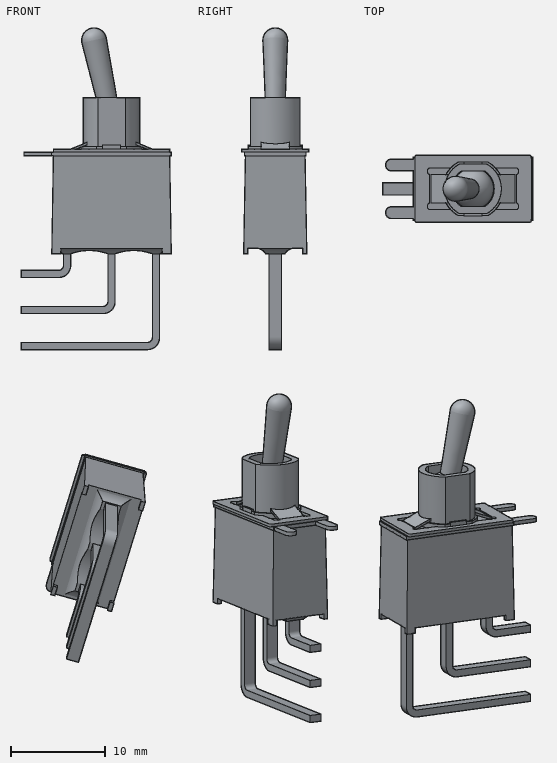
import cadquery as cq
import math


OVERALL_HEIGHT = 34.0

TERMINAL_COUNT = 3
TERMINAL_PITCH_X = 4.7
TERMINAL_PITCH_Z = 3.8
TERMINAL_THICKNESS = 0.78
TERMINAL_WIDTH = 1.33
TERMINAL_INNER_RADIUS = 0.5
TERMINAL_END_X = -9.55
TERMINAL_EMBED = 0.68

HOUSING_BOTTOM_LENGTH = 12.65
HOUSING_BOTTOM_WIDTH = 6.7
HOUSING_TOP_LENGTH = 12.3
HOUSING_TOP_WIDTH = 6.32
HOUSING_BOTTOM_Z = 10.13
HOUSING_TOP_Z = 20.47
FOOT_HEIGHT = 0.58
FOOT_GAP_LENGTH = 10.68
FOOT_GAP_WIDTH = 5.78

RESIN_BOTTOM_LENGTH = 10.4
RESIN_BOTTOM_WIDTH = 2.05
RESIN_FLARE = 0.8
RESIN_FLANK_MIDDLE = (0.4, 0.4)
RESIN_HOLLOW_RISE = 0.35

FRAME_THICKNESS = 0.4
FRAME_WIDTH = 6.53
PRONG_TIP_X = -9.25
PRONG_WIDTH = 1.25
PRONG_Y = 2.5

COVER_LENGTH = 12.3
COVER_WIDTH = 7.1
COVER_THICKNESS = 0.3
COVER_CORNER_RADIUS = 0.2
WINDOW_EDGE_X = 4.6
WINDOW_WIDTH = 4.42
SLOT_END_BULGE = 0.25
TONGUE_WIDTH = 3.0
TONGUE_ROOT_X = 4.45
TONGUE_TIP_X = 2.38
TONGUE_SLOPE = 22.5
TONGUE_ROOT_DROP = 0.05

BUSHING_RADIUS = 3.0
BUSHING_FLATS = 5.25
BUSHING_TOP_Z = 26.62
BORE_RADIUS = 2.25
BORE_FLATS = 3.75
COLLAR_RADIUS = 3.23
COLLAR_FLATS = 5.65
COLLAR_HEIGHT = 0.27
LUG_LENGTH = 1.87
LUG_SPAN = 5.7
LUG_HEIGHT = 0.45

PIVOT_Z = 24.15
BALL_RADIUS = 2.18
LEVER_TILT = 12.2
LEVER_ROOT_RADIUS = 1.0
LEVER_TIP_RADIUS = 1.33

FOOT_GAP_Z = HOUSING_BOTTOM_Z + FOOT_HEIGHT
FRAME_TOP_Z = HOUSING_TOP_Z + FRAME_THICKNESS
COVER_TOP_Z = FRAME_TOP_Z + COVER_THICKNESS


def box(length, width, bottom_z, top_z):
    """Box centred on the Z axis."""
    return (
        cq.Workplane("XY")
        .workplane(offset=bottom_z)
        .rect(length, width)
        .extrude(top_z - bottom_z)
    )


def flatted_cylinder(radius, flats, bottom_z, top_z):
    """Vertical cylinder with two flats facing +Y and -Y."""
    cylinder = cq.Workplane("XY").workplane(offset=bottom_z).circle(radius).extrude(top_z - bottom_z)
    return cylinder.intersect(box(2 * radius, flats, bottom_z, top_z))


def terminal_x(index):
    """X of the vertical leg of a terminal, counted from the prong end."""
    return (index - (TERMINAL_COUNT - 1) / 2) * TERMINAL_PITCH_X


def make_terminal(index):
    """L-shaped strip: down out of the housing, then bent towards -X."""
    outer_x = terminal_x(index) + TERMINAL_THICKNESS / 2
    bottom_z = (TERMINAL_COUNT - 1 - index) * TERMINAL_PITCH_Z
    top_z = FOOT_GAP_Z + TERMINAL_EMBED
    inner_x = outer_x - TERMINAL_THICKNESS
    inner_z = bottom_z + TERMINAL_THICKNESS
    strip = (
        cq.Workplane("XZ")
        .moveTo(TERMINAL_END_X, bottom_z)
        .lineTo(outer_x, bottom_z)
        .lineTo(outer_x, top_z)
        .lineTo(inner_x, top_z)
        .lineTo(inner_x, inner_z)
        .lineTo(TERMINAL_END_X, inner_z)
        .close()
        .extrude(TERMINAL_WIDTH / 2, both=True)
    )
    outer_bend = cq.selectors.NearestToPointSelector((outer_x, 0, bottom_z))
    inner_bend = cq.selectors.NearestToPointSelector((inner_x, 0, inner_z))
    strip = strip.edges("|Y").edges(outer_bend).fillet(TERMINAL_INNER_RADIUS + TERMINAL_THICKNESS)
    return strip.edges("|Y").edges(inner_bend).fillet(TERMINAL_INNER_RADIUS)


def make_housing():
    """Tapered block standing on four corner feet."""
    block = (
        cq.Workplane("XY")
        .workplane(offset=HOUSING_BOTTOM_Z)
        .rect(HOUSING_BOTTOM_LENGTH, HOUSING_BOTTOM_WIDTH)
        .workplane(offset=HOUSING_TOP_Z - HOUSING_BOTTOM_Z)
        .rect(HOUSING_TOP_LENGTH, HOUSING_TOP_WIDTH)
        .loft(combine=True)
    )
    long_gap = box(FOOT_GAP_LENGTH, HOUSING_BOTTOM_WIDTH, HOUSING_BOTTOM_Z, FOOT_GAP_Z)
    cross_gap = box(HOUSING_BOTTOM_LENGTH, FOOT_GAP_WIDTH, HOUSING_BOTTOM_Z, FOOT_GAP_Z)
    return block.cut(long_gap).cut(cross_gap)


def resin_outline(plane, bottom_length):
    """Top edge and two hollow flanks of the resin, ending at its bottom corner on the positive side."""
    half_bottom = bottom_length / 2
    half_top = half_bottom + RESIN_FLARE
    middle_offset, middle_rise = RESIN_FLANK_MIDDLE
    half_middle = half_bottom + middle_offset
    middle_z = HOUSING_BOTTOM_Z + middle_rise
    return (
        cq.Workplane(plane)
        .moveTo(-half_bottom, HOUSING_BOTTOM_Z)
        .threePointArc((-half_middle, middle_z), (-half_top, FOOT_GAP_Z))
        .lineTo(half_top, FOOT_GAP_Z)
        .threePointArc((half_middle, middle_z), (half_bottom, HOUSING_BOTTOM_Z))
    )


def make_resin():
    """Sealing resin that is hollow between the terminals and flares out towards the housing."""
    half_thickness = TERMINAL_THICKNESS / 2
    profile = resin_outline("XZ", RESIN_BOTTOM_LENGTH)
    for index in reversed(range(TERMINAL_COUNT - 1)):
        start_x = terminal_x(index + 1) - half_thickness
        end_x = terminal_x(index) + half_thickness
        crest = ((start_x + end_x) / 2, HOUSING_BOTTOM_Z + RESIN_HOLLOW_RISE)
        profile = profile.lineTo(start_x, HOUSING_BOTTOM_Z)
        profile = profile.threePointArc(crest, (end_x, HOUSING_BOTTOM_Z))
    layer = profile.close().extrude(HOUSING_BOTTOM_WIDTH / 2, both=True)
    section = resin_outline("YZ", RESIN_BOTTOM_WIDTH).close()
    return layer.intersect(section.extrude(HOUSING_BOTTOM_LENGTH / 2, both=True))


def make_frame():
    """Sheet on top of the housing with two round-ended prongs towards -X."""
    frame = box(HOUSING_BOTTOM_LENGTH, FRAME_WIDTH, HOUSING_TOP_Z, FRAME_TOP_Z)
    tip_radius = PRONG_WIDTH / 2
    for side in (-1, 1):
        prong = (
            cq.Workplane("XY")
            .workplane(offset=HOUSING_TOP_Z)
            .moveTo(0, side * PRONG_Y - tip_radius)
            .lineTo(PRONG_TIP_X + tip_radius, side * PRONG_Y - tip_radius)
            .threePointArc(
                (PRONG_TIP_X, side * PRONG_Y),
                (PRONG_TIP_X + tip_radius, side * PRONG_Y + tip_radius),
            )
            .lineTo(0, side * PRONG_Y + tip_radius)
            .close()
            .extrude(FRAME_THICKNESS)
        )
        frame = frame.union(prong)
    return frame


def make_window():
    """Opening in the cover: a slot on each side of both tongues and the gap under them."""
    window = box(2 * WINDOW_EDGE_X, TONGUE_WIDTH, FRAME_TOP_Z, COVER_TOP_Z)
    outer_y = WINDOW_WIDTH / 2
    inner_y = TONGUE_WIDTH / 2
    middle_y = (outer_y + inner_y) / 2
    slot = (
        cq.Workplane("XY")
        .workplane(offset=FRAME_TOP_Z)
        .moveTo(-WINDOW_EDGE_X, inner_y)
        .lineTo(WINDOW_EDGE_X, inner_y)
        .threePointArc((WINDOW_EDGE_X + SLOT_END_BULGE, middle_y), (WINDOW_EDGE_X, outer_y))
        .lineTo(-WINDOW_EDGE_X, outer_y)
        .threePointArc((-WINDOW_EDGE_X - SLOT_END_BULGE, middle_y), (-WINDOW_EDGE_X, inner_y))
        .close()
        .extrude(COVER_THICKNESS)
    )
    return window.union(slot).union(slot.mirror("XZ"))


def make_tongue():
    """Spring tongue on the +X side, rising from the frame to the bushing."""
    root_top_z = COVER_TOP_Z - TONGUE_ROOT_DROP
    rise = (TONGUE_ROOT_X - TONGUE_TIP_X) * math.tan(math.radians(TONGUE_SLOPE))
    return (
        cq.Workplane("XZ")
        .moveTo(TONGUE_ROOT_X, FRAME_TOP_Z)
        .lineTo(TONGUE_ROOT_X, root_top_z)
        .lineTo(TONGUE_TIP_X, root_top_z + rise)
        .lineTo(TONGUE_TIP_X, FRAME_TOP_Z + rise)
        .close()
        .extrude(TONGUE_WIDTH / 2, both=True)
    )


def make_cover():
    """Thin plate with its window and the two tongues standing in it."""
    plate = box(COVER_LENGTH, COVER_WIDTH, FRAME_TOP_Z, COVER_TOP_Z)
    plate = plate.edges("|Z").fillet(COVER_CORNER_RADIUS)
    tongue = make_tongue()
    return plate.cut(make_window()).union(tongue).union(tongue.mirror("YZ"))


def make_bushing():
    """Bushing with collar and lugs at its foot; the bore stops at the ball centre."""
    bushing = flatted_cylinder(BUSHING_RADIUS, BUSHING_FLATS, FRAME_TOP_Z, BUSHING_TOP_Z)
    collar = flatted_cylinder(COLLAR_RADIUS, COLLAR_FLATS, FRAME_TOP_Z, COVER_TOP_Z + COLLAR_HEIGHT)
    lugs = box(LUG_LENGTH, LUG_SPAN, FRAME_TOP_Z, COVER_TOP_Z + LUG_HEIGHT)
    bore = flatted_cylinder(BORE_RADIUS, BORE_FLATS, PIVOT_Z, BUSHING_TOP_Z)
    return bushing.union(collar).union(lugs).cut(bore)


def make_lever():
    """Tapered lever with a ball-shaped tip, growing out of the pivot ball."""
    tilt = math.radians(LEVER_TILT)
    length = (OVERALL_HEIGHT - LEVER_TIP_RADIUS - PIVOT_Z) / math.cos(tilt)
    upright = (
        cq.Workplane("XZ")
        .lineTo(LEVER_ROOT_RADIUS, 0)
        .lineTo(LEVER_TIP_RADIUS, length)
        .threePointArc(
            (LEVER_TIP_RADIUS * math.sin(math.pi / 4), length + LEVER_TIP_RADIUS * math.cos(math.pi / 4)),
            (0, length + LEVER_TIP_RADIUS),
        )
        .close()
        .revolve(360, (0, 0, 0), (0, 1, 0))
    )
    lever = upright.rotate((0, 0, 0), (0, 1, 0), -LEVER_TILT).translate((0, 0, PIVOT_Z))
    ball = cq.Workplane("XY").sphere(BALL_RADIUS).translate((0, 0, PIVOT_Z))
    return lever.union(ball)


result = make_housing().union(make_resin())
for terminal_index in range(TERMINAL_COUNT):
    result = result.union(make_terminal(terminal_index))
result = result.union(make_frame()).union(make_cover()).union(make_bushing()).union(make_lever())